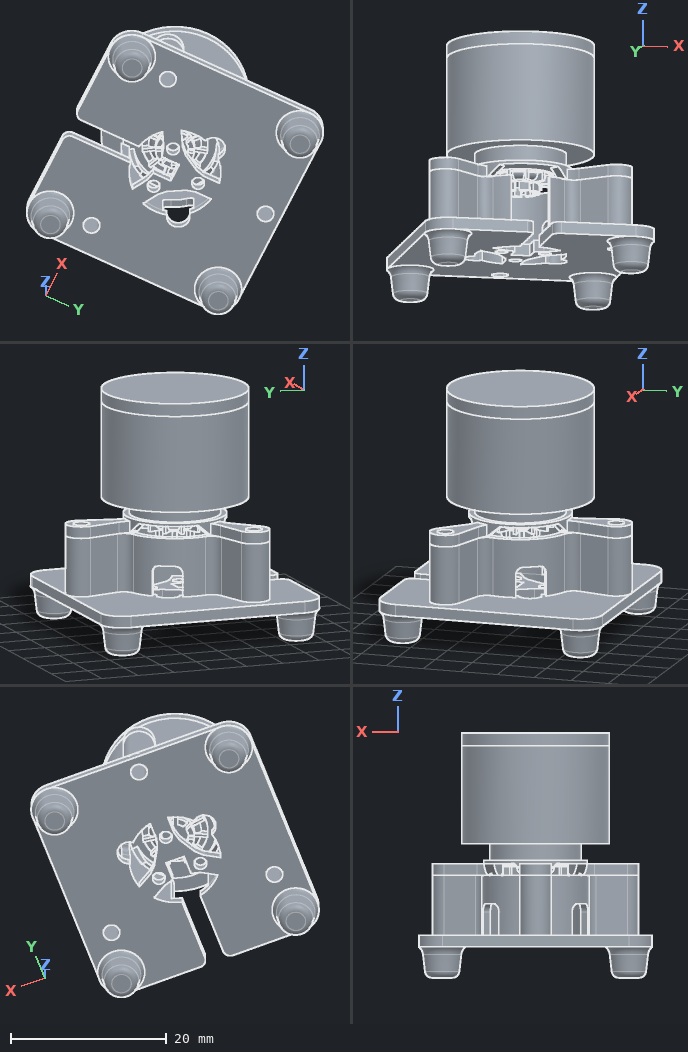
import cadquery as cq
import math

foot_height = 4.0
plate_thickness = 1.5
ear_thickness = 1.5
plate_top = foot_height + plate_thickness
housing_top = 13.2
ear_top = housing_top + ear_thickness
mount_top = 15.15
knob_bottom = 17.23
lid_bottom = 29.83
lid_top = 31.5

clearance = 0.3

plate_side = 30.0
plate_corner_radius = 3.0
cable_slot_width = 2.5
cable_slot_mouth_radius = 1.0

wall_outer_radius = 6.9
wall_inner_radius = 5.9
wall_gap_width = 5.07
door_width = 4.0
door_height = 4.03
door_corner_radius = 1.0
door_relief_diameter = 3.0
door_relief_distance = 6.0

hub_flat_distance = 2.5
hub_flat_width = 2.52
hub_arm_width = 2.43
hub_shoulder_distance = 3.53
hub_hole_diameter = 1.6
hub_hole_distance = 3.3

lug_distance = 12.95
lug_radius = 2.05
lug_hole_diameter = 2.1
lug_taper = math.radians(13.5)
pillar_fillet = 1.5
ear_fillet = 4.0
ear_fillet_circle = 4.72
lug_angles = (90, 210, 330)
door_angles = (30, 150)
window_angles = (30, 150, 270)

skirt_radius = 6.68
skirt_inner_radius = 5.35
neck_diameter = 11.8
window_top_width = 7.7
window_bottom_width = 10.45
window_side_slope = 0.75

cage_radius = 4.22
cage_core_radius = 2.52
cage_collar_rounding = 0.85
cage_top = 14.52
cage_rim_thickness = 0.22
cage_fin_count = 11
cage_fin_width = 0.4
collet_diameter = 5.0
collet_bore_diameter = 3.45
collet_bottom = 12.13
collet_slot_width = 0.6
collet_slot_count = 4

knob_diameter = 19.0
foot_tip_radius = 1.25
foot_lower_radius = 2.25
foot_lower_height = 0.88
foot_upper_radius = 2.5
foot_upper_height = 3.05
foot_flare_radius = 3.02
foot_offset = plate_side / 2 - plate_corner_radius


def cylinder(radius, bottom, top):
    return cq.Workplane("XY").workplane(offset=bottom).circle(radius).extrude(top - bottom)


def turned(shape, degrees):
    return shape.rotate((0, 0, 0), (0, 0, 1), degrees)


def lug(inner_circle, fillet, bottom, top):
    """Round-ended lug along +X, tapering inward, then flaring to meet a circle about the origin."""
    normal = (-math.sin(lug_taper), math.cos(lug_taper))
    along = (math.cos(lug_taper), math.sin(lug_taper))
    across = lug_radius + fillet - lug_distance * math.sin(lug_taper)
    reach = math.sqrt((inner_circle + fillet) ** 2 - across**2)
    centre = [across * n + reach * a for n, a in zip(normal, along)]
    root_direction = math.atan2(centre[1], centre[0]) + math.pi
    side_direction = lug_taper + 3 * math.pi / 2
    middle_direction = (root_direction + side_direction) / 2

    end_tangent = (lug_distance + lug_radius * normal[0], lug_radius * normal[1])
    side_tangent = (centre[0] - fillet * normal[0], centre[1] - fillet * normal[1])
    fillet_middle = (
        centre[0] + fillet * math.cos(middle_direction),
        centre[1] + fillet * math.sin(middle_direction),
    )
    root_share = inner_circle / (inner_circle + fillet)
    root = (centre[0] * root_share, centre[1] * root_share)

    def mirrored(point):
        return (point[0], -point[1])

    return (
        cq.Workplane("XY")
        .workplane(offset=bottom)
        .moveTo(*root)
        .threePointArc(fillet_middle, side_tangent)
        .lineTo(*end_tangent)
        .threePointArc((lug_distance + lug_radius, 0), mirrored(end_tangent))
        .lineTo(*mirrored(side_tangent))
        .threePointArc(mirrored(fillet_middle), mirrored(root))
        .close()
        .extrude(top - bottom)
    )


def lug_holes(bottom, top):
    return (
        cq.Workplane("XY")
        .workplane(offset=bottom)
        .polarArray(lug_distance, lug_angles[0], 360, len(lug_angles))
        .circle(lug_hole_diameter / 2)
        .extrude(top - bottom)
    )


def make_plate():
    plate = (
        cq.Workplane("XY")
        .workplane(offset=foot_height)
        .rect(plate_side, plate_side)
        .extrude(plate_thickness)
        .edges("|Z")
        .fillet(plate_corner_radius)
    )
    cable_slot = (
        cq.Workplane("XY")
        .workplane(offset=foot_height)
        .center(0, -plate_side / 2)
        .rect(cable_slot_width, plate_side)
        .extrude(plate_thickness)
    )
    front = -plate_side / 2
    slot_mouth = cq.selectors.BoxSelector(
        (-cable_slot_width, front - clearance, 0), (cable_slot_width, front + clearance, plate_top)
    )
    plate = plate.cut(cable_slot).edges("|Z").edges(slot_mouth).fillet(cable_slot_mouth_radius)

    opening = cylinder(wall_inner_radius, foot_height, plate_top)
    opening = opening.cut(make_hub())
    relief = (
        cq.Workplane("XY")
        .workplane(offset=foot_height)
        .center(door_relief_distance / 2, 0)
        .slot2D(door_relief_distance + door_relief_diameter, door_relief_diameter)
        .extrude(plate_thickness)
        .cut(cylinder(wall_inner_radius, foot_height, plate_top))
    )
    for angle in door_angles:
        opening = opening.union(turned(relief, angle))
    return plate.cut(opening)


def make_hub():
    """Plate with one drilled arm under each lug and a flat edge between neighbouring arms."""
    half_arm = hub_arm_width / 2
    half_flat = hub_flat_width / 2
    half_pitch = math.pi / len(lug_angles)
    flat_corner = (
        hub_flat_distance * math.cos(half_pitch) + half_flat * math.sin(half_pitch),
        hub_flat_distance * math.sin(half_pitch) - half_flat * math.cos(half_pitch),
    )
    half_outline = [flat_corner, (hub_shoulder_distance, half_arm), (wall_inner_radius + clearance, half_arm)]
    arm_outline = [(along, -side) for along, side in half_outline] + half_outline[::-1]

    corners = []
    for angle in lug_angles:
        cosine = math.cos(math.radians(angle))
        sine = math.sin(math.radians(angle))
        for along, side in arm_outline:
            corners.append((along * cosine - side * sine, along * sine + side * cosine))
    hub = cq.Workplane("XY").workplane(offset=foot_height).polyline(corners).close().extrude(plate_thickness)
    holes = (
        cq.Workplane("XY")
        .workplane(offset=foot_height)
        .polarArray(hub_hole_distance, lug_angles[0], 360, len(lug_angles))
        .circle(hub_hole_diameter / 2)
        .extrude(plate_thickness)
    )
    return hub.cut(holes)


def make_doorway():
    """Cutter for an arched doorway through the wall on its +X side."""
    return (
        cq.Workplane("YZ")
        .center(0, plate_top + door_height / 2)
        .rect(door_width, door_height)
        .extrude(wall_outer_radius + clearance)
        .edges("|X and >Z")
        .fillet(door_corner_radius)
    )


def make_base():
    wall = cylinder(wall_outer_radius, plate_top, housing_top)
    for angle in lug_angles:
        wall = wall.union(turned(lug(wall_outer_radius, pillar_fillet, plate_top, housing_top), angle))
    wall = wall.cut(cylinder(wall_inner_radius, plate_top, housing_top))
    gap = (
        cq.Workplane("XY")
        .workplane(offset=plate_top)
        .center(0, -wall_outer_radius)
        .rect(wall_gap_width, 2 * wall_outer_radius)
        .extrude(housing_top - plate_top)
    )
    wall = wall.cut(gap)
    for angle in door_angles:
        wall = wall.cut(turned(make_doorway(), angle))
    return make_plate().union(wall).cut(lug_holes(foot_height, housing_top))


def make_window():
    """Cutter along +X: a trapezoid that widens outward, as wide as named where it meets the skirt."""

    def half_width(width, distance):
        skirt_distance = math.sqrt(skirt_radius**2 - (width / 2) ** 2)
        return width / 2 + window_side_slope * (distance - skirt_distance)

    def trapezoid(distance):
        half_top = half_width(window_top_width, distance)
        half_bottom = half_width(window_bottom_width, distance)
        return cq.Wire.makePolygon(
            [
                cq.Vector(distance, -half_bottom, housing_top),
                cq.Vector(distance, half_bottom, housing_top),
                cq.Vector(distance, half_top, ear_top),
                cq.Vector(distance, -half_top, ear_top),
            ],
            close=True,
        )

    near = skirt_inner_radius / 2
    far = skirt_radius + clearance
    return cq.Workplane(cq.Solid.makeLoft([trapezoid(near), trapezoid(far)], True))


def make_ear_mount():
    skirt = cylinder(skirt_radius, housing_top, mount_top)
    skirt = skirt.cut(cylinder(skirt_inner_radius, housing_top, ear_top))
    for angle in window_angles:
        skirt = skirt.cut(turned(make_window(), angle))
    mid_skirt = (skirt_radius + skirt_inner_radius) / 2
    for angle in lug_angles:
        ear = lug(ear_fillet_circle, ear_fillet, housing_top, ear_top)
        ear = ear.cut(cylinder(mid_skirt, housing_top, ear_top))
        skirt = skirt.union(turned(ear, angle))
    neck = cylinder(neck_diameter / 2, mount_top, knob_bottom)
    return skirt.union(neck).cut(lug_holes(housing_top, ear_top))


def make_cage():
    rim_bottom = cage_top - cage_rim_thickness
    rim = cylinder(cage_radius, rim_bottom, cage_top)
    core = cylinder(cage_core_radius, housing_top, cage_top)
    collar = cylinder(cage_core_radius + cage_collar_rounding, rim_bottom - cage_collar_rounding, cage_top)
    collar = collar.edges("<Z").fillet(cage_collar_rounding)
    stem = cylinder(collet_diameter / 2, cage_top, ear_top)
    fins = (
        cq.Workplane("XY")
        .workplane(offset=housing_top)
        .polarArray(cage_radius / 2, 270, 360, cage_fin_count)
        .rect(cage_radius, cage_fin_width)
        .extrude(cage_top - housing_top)
    )
    return rim.union(core).union(collar).union(fins).union(stem).union(make_collet())


def make_collet():
    collet = cylinder(collet_diameter / 2, collet_bottom, housing_top)
    collet = collet.cut(cylinder(collet_bore_diameter / 2, collet_bottom, housing_top))
    slot = (
        cq.Workplane("XY")
        .workplane(offset=collet_bottom)
        .rect(collet_diameter + clearance, collet_slot_width)
        .extrude(housing_top - collet_bottom)
    )
    slot_pitch = 180 / collet_slot_count
    for index in range(collet_slot_count):
        collet = collet.cut(turned(slot, (index + 0.5) * slot_pitch))
    return collet


def make_foot(x, y):
    return (
        cq.Workplane("XZ")
        .lineTo(foot_tip_radius, 0)
        .tangentArcPoint((foot_lower_radius, foot_lower_height), relative=False)
        .lineTo(foot_upper_radius, foot_upper_height)
        .tangentArcPoint((foot_flare_radius, foot_height), relative=False)
        .lineTo(0, foot_height)
        .close()
        .revolve(360, (0, 0, 0), (0, 1, 0))
        .translate((x, y, 0))
    )


base = make_base()
ear_mount = make_ear_mount()
cage = make_cage()
knob = cylinder(knob_diameter / 2, knob_bottom, lid_bottom)
lid = cylinder(knob_diameter / 2, lid_bottom, lid_top)
feet = []
for x in (-foot_offset, foot_offset):
    for y in (-foot_offset, foot_offset):
        feet.append(make_foot(x, y).val())

result = cq.Compound.makeCompound(
    [base.val(), ear_mount.val(), cage.val(), knob.val(), lid.val(), *feet]
)